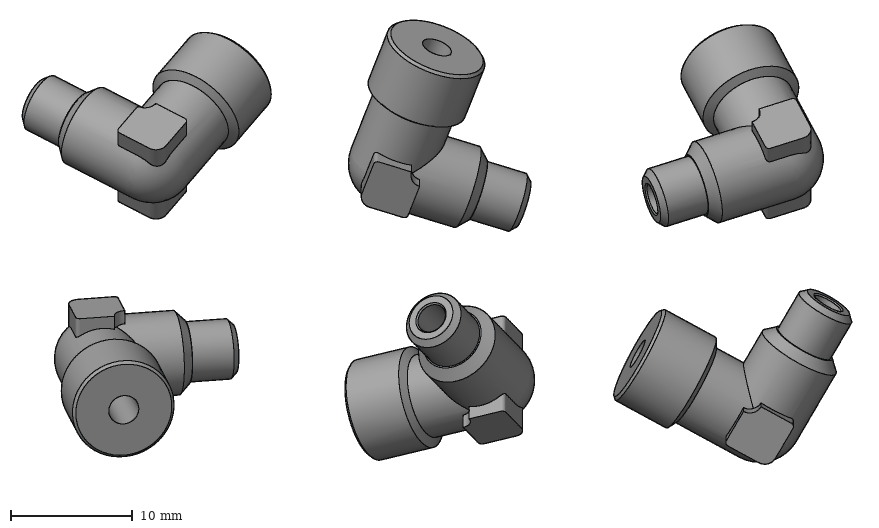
import cadquery as cq

arm_length = 11.5
body_radius = 3.5
bore_radius = 2.5 / 2
bore_chamfer = 0.13

spigot_radius = 5.0 / 2
spigot_length = 4.0
spigot_chamfer = 0.5
shoulder_radius = 2.63

socket_radius = 4.25
socket_start = 6.47
neck_end = 6.05
socket_chamfer = 0.24

pad_side = 4.25
pad_height = 9.0
notch_radius = 1.05
outer_corner_radius = 1.01
small_corner_radius = 0.33


def make_spigot_arm():
    """Body and stepped spigot, revolved about X."""
    spigot_end = -arm_length
    shoulder = spigot_end + spigot_length
    body_start = shoulder + body_radius - shoulder_radius
    return (
        cq.Workplane("XY")
        .moveTo(spigot_end, 0)
        .lineTo(spigot_end, spigot_radius - spigot_chamfer)
        .lineTo(spigot_end + spigot_chamfer, spigot_radius)
        .lineTo(shoulder, spigot_radius)
        .lineTo(shoulder, shoulder_radius)
        .lineTo(body_start, body_radius)
        .lineTo(0, body_radius)
        .lineTo(0, 0)
        .close()
        .revolve(360, (0, 0), (1, 0))
    )


def make_socket_arm():
    """Neck and flared socket, revolved about Y."""
    return (
        cq.Workplane("XY")
        .lineTo(body_radius, 0)
        .lineTo(body_radius, neck_end)
        .lineTo(socket_radius, socket_start)
        .lineTo(socket_radius, arm_length - socket_chamfer)
        .lineTo(socket_radius - socket_chamfer, arm_length)
        .lineTo(0, arm_length)
        .close()
        .revolve(360, (0, 0), (0, 1))
    )


def make_pads():
    """Square block through the elbow, with a round notch in its inner corner."""
    half = pad_side / 2
    block = cq.Workplane("XY").box(pad_side, pad_side, pad_height)
    block = block.edges("|Z and >X and <Y").fillet(outer_corner_radius)
    corner_points = ((half, half), (-half, -half))
    for x, y in corner_points:
        corner_edge = cq.selectors.NearestToPointSelector((x, y, 0))
        block = block.edges("|Z").edges(corner_edge).fillet(small_corner_radius)
    notch = (
        cq.Workplane("XY")
        .center(-half, half)
        .circle(notch_radius)
        .extrude(pad_height, both=True)
    )
    return block.cut(notch)


def make_bore():
    """Right-angle passage with a ball-shaped corner and a chamfered spigot mouth."""
    spigot_bore = (
        cq.Workplane("XY")
        .moveTo(-arm_length, 0)
        .lineTo(-arm_length, bore_radius + bore_chamfer)
        .lineTo(-arm_length + bore_chamfer, bore_radius)
        .lineTo(0, bore_radius)
        .lineTo(0, 0)
        .close()
        .revolve(360, (0, 0), (1, 0))
    )
    socket_bore = cq.Workplane("XZ").circle(bore_radius).extrude(-arm_length)
    corner = cq.Workplane("XY").sphere(bore_radius)
    return spigot_bore.union(socket_bore).union(corner)


elbow_corner = cq.Workplane("XY").sphere(body_radius)
elbow = make_spigot_arm().union(make_socket_arm()).union(elbow_corner)
result = elbow.union(make_pads()).cut(make_bore())